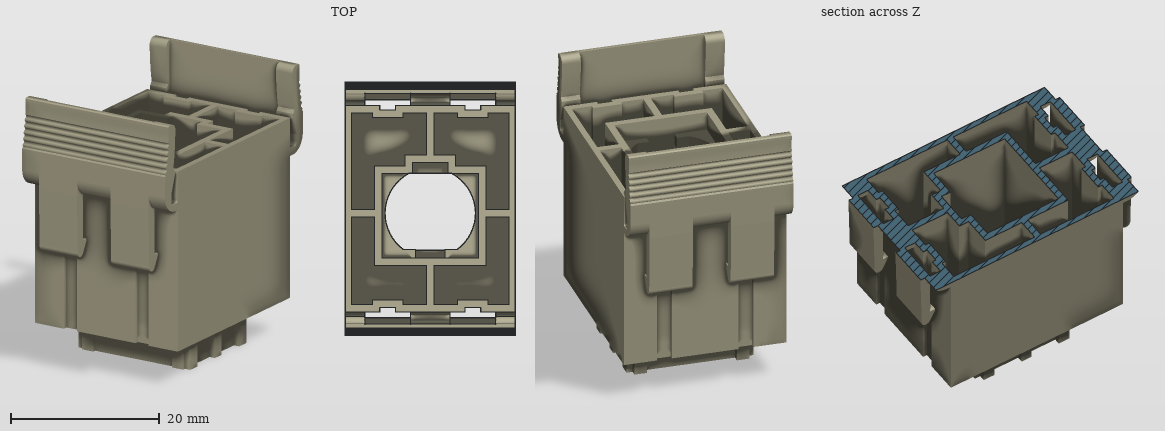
import cadquery as cq
import math

width = 22.9
span = 34.0
height = 37.4
wall = 1.0

body_length = 27.75
body_bottom = 4.95
body_top = 30.37
side_wall = 0.85
floor_top = body_bottom + wall

groove_x = width / 4
groove_width = 2.05
groove_depth = 0.6
step_width = groove_width + 2 * wall

socket_width = 13.0
socket_back = 4.75
socket_front = -6.62
key_width = 4.82
key_depth = 1.45
bore_radius = 6.05
bore_y = -0.6
lip_depth = 2.6
lip_top = body_top - lip_depth
lip_thickness = 1.55
lip_front = -5.45
lip_notch_width = 3.93
outlet_front = -5.57

spigot_width = 16.15
spigot_length = 13.85
corner_rib = 1.75
middle_rib = 1.6
side_rib_depth = 0.85
back_rib_depth = 0.85
front_rib_depth = 0.45

clip_outer = span / 2
clip_inner = 15.5
bridge_bottom = 25.0
bridge_top = bridge_bottom + wall
bend_radius = 2.45
bend_fillet = 0.55
root_fillet = 0.35
lug_width = 2.65
arm_width = 6.1
arm_bottom = 16.4
grip_start = (16.2, 35.0)
grip_end = (16.83, 30.65)
grip_foot = 30.45
grip_grooves = 5
grip_groove_width = 0.45
grip_floor_width = 0.3
grip_flank_depth = 0.15
grip_groove_depth = 0.22
grip_tooth_rise = 0.07


def block(x0, x1, y0, y1, z0, z1):
    """Box between two opposite corners."""
    return cq.Workplane("XY").box(x1 - x0, y1 - y0, z1 - z0, centered=False).translate((x0, y0, z0))


def centred_block(x, x_size, y0, y1, z0, z1):
    """Box centred on x, spanning the given Y and Z ranges."""
    return block(x - x_size / 2, x + x_size / 2, y0, y1, z0, z1)


def across(profile, x, x_size):
    """Extrude a closed YZ profile along X, centred on x."""
    return profile.extrude(x_size / 2, both=True).translate((x, 0, 0))


def socket_block(offset, z0, z1):
    """Socket outline with its key channel, grown outwards by offset."""
    back = socket_back + offset
    main = centred_block(0, socket_width + 2 * offset, socket_front - offset, back, z0, z1)
    return main.union(centred_block(0, key_width + 2 * offset, 0, back + key_depth, z0, z1))


def make_housing():
    half_length = body_length / 2
    inner_half = half_length - wall
    body = centred_block(0, width, -half_length, half_length, body_bottom, body_top)

    pockets = centred_block(0, width - 2 * side_wall, -inner_half, inner_half, floor_top, body_top)
    pockets = pockets.cut(centred_block(0, wall, -half_length, half_length, floor_top, body_top))
    pockets = pockets.cut(
        centred_block(0, width, bore_y - wall / 2, bore_y + wall / 2, floor_top, body_top)
    )
    pockets = pockets.cut(socket_block(wall, floor_top, body_top))
    for x in (-groove_x, groove_x):
        for side in (-1, 1):
            step_y = sorted((side * (inner_half - groove_depth), side * inner_half))
            groove_y = sorted((side * (half_length - groove_depth), side * half_length))
            pockets = pockets.cut(centred_block(x, step_width, *step_y, floor_top, body_top))
            body = body.cut(centred_block(x, groove_width, *groove_y, body_bottom, body_top))
    return body.cut(pockets)


def make_spigot():
    half_width = spigot_width / 2
    half_length = spigot_length / 2
    spigot = centred_block(0, spigot_width, -half_length, half_length, 0, body_bottom)

    rib_span = spigot_width + 2 * side_rib_depth
    corner_y = half_length - corner_rib / 2
    for y, size in ((-corner_y, corner_rib), (0, middle_rib), (corner_y, corner_rib)):
        spigot = spigot.union(centred_block(0, rib_span, y - size / 2, y + size / 2, 0, body_bottom))
    corner_x = half_width - corner_rib / 2
    for x in (-corner_x, corner_x):
        front = -half_length - front_rib_depth
        back = half_length + back_rib_depth
        spigot = spigot.union(centred_block(x, corner_rib, front, back, 0, body_bottom))
    return spigot


def make_socket_cavity():
    cavity = socket_block(0, floor_top, body_top)
    outlet = centred_block(0, socket_width, outlet_front, socket_back, 0, floor_top)

    lip_bottom = lip_top - lip_thickness
    lip = centred_block(0, socket_width, socket_front, socket_back, lip_bottom, lip_top)
    bore = cq.Workplane("XY", origin=(0, bore_y, lip_bottom)).circle(bore_radius).extrude(lip_thickness)
    bore = bore.intersect(centred_block(0, socket_width, lip_front, socket_back, lip_bottom, lip_top))
    notch = centred_block(0, lip_notch_width, socket_front, 0, lip_bottom, lip_top)
    return cavity.cut(lip.cut(bore).cut(notch)).union(outlet)


def add_grip(outline):
    """Continue the clip outline up the sloped grip face, with rounded grooves and teeth."""
    rise_y = grip_start[0] - grip_end[0]
    rise_z = grip_start[1] - grip_end[1]
    length = math.hypot(rise_y, rise_z)
    pitch = length / grip_grooves

    def on_grip(along, depth):
        share = along / length
        inward = depth / length
        return (
            grip_end[0] + share * rise_y - inward * rise_z,
            grip_end[1] + share * rise_z + inward * rise_y,
        )

    half_mouth = grip_groove_width / 2
    half_floor = grip_floor_width / 2
    for index in range(grip_grooves):
        middle = (index + 1) * pitch - half_mouth
        tooth_middle = middle - pitch / 2
        outline = (
            outline.threePointArc(
                on_grip(tooth_middle, -grip_tooth_rise),
                on_grip(middle - half_mouth, 0),
            )
            .lineTo(*on_grip(middle - half_floor, grip_flank_depth))
            .threePointArc(
                on_grip(middle, grip_groove_depth),
                on_grip(middle + half_floor, grip_flank_depth),
            )
            .lineTo(*on_grip(middle + half_mouth, 0))
        )
    return outline


def make_lug_profile():
    """Full clip section on the +Y side: bridge, outer bend, grip face and curved inner face."""
    root = body_length / 2
    bend_y = clip_outer - bend_radius
    bend_z = bridge_bottom + bend_radius
    diagonal = math.sqrt(0.5)
    inset = 1 - diagonal
    tip_radius = 0.95
    tip_inner = 14.47
    tip_outer = grip_start[0]
    tip_chamfer_width = 0.2
    tip_chamfer_height = 0.15
    finger_hollow_top = (tip_outer, 36.85)
    finger_hollow_middle = (16.15, 35.98)
    waist_middle = (14.62, 33.6)
    waist = (14.95, 31.23)
    bump_y = 14.62
    bump_top = 30.7
    bump_bottom = 30.05
    neck_z = 27.55
    outline = (
        cq.Workplane("YZ")
        .moveTo(root - wall / 2, bridge_bottom)
        .lineTo(bend_y, bridge_bottom)
        .threePointArc(
            (bend_y + bend_radius * diagonal, bend_z - bend_radius * diagonal),
            (clip_outer, bend_z),
        )
        .lineTo(clip_outer, grip_foot)
        .lineTo(*grip_end)
    )
    return (
        add_grip(outline)
        .threePointArc(finger_hollow_middle, finger_hollow_top)
        .lineTo(tip_outer, height - tip_chamfer_height)
        .lineTo(tip_outer - tip_chamfer_width, height)
        .lineTo(tip_inner + tip_radius, height)
        .threePointArc(
            (tip_inner + tip_radius * inset, height - tip_radius * inset),
            (tip_inner, height - tip_radius),
        )
        .threePointArc(waist_middle, waist)
        .lineTo(bump_y, bump_top)
        .lineTo(bump_y, bump_bottom)
        .lineTo(clip_inner, neck_z)
        .lineTo(clip_inner, bridge_top + bend_fillet)
        .threePointArc(
            (clip_inner - bend_fillet * inset, bridge_top + bend_fillet * inset),
            (clip_inner - bend_fillet, bridge_top),
        )
        .lineTo(root + root_fillet, bridge_top)
        .threePointArc(
            (root + root_fillet * inset, bridge_top + root_fillet * inset),
            (root, bridge_top + root_fillet),
        )
        .lineTo(root - wall / 2, bridge_top + root_fillet)
        .close()
    )


def make_arm_profile():
    """Hook arm hanging from the outer bend, tapered towards its rounded end."""
    hook_top = 18.63
    hook_tip_y = 14.62
    hook_tip_height = 0.22
    end_inner = (clip_inner, 16.83)
    end_middle = (16.1, arm_bottom)
    end_outer = (16.8, 17.2)
    taper_start = 25.2
    return (
        cq.Workplane("YZ")
        .moveTo(clip_inner, bridge_top + bend_fillet)
        .lineTo(clip_inner, hook_top)
        .lineTo(hook_tip_y, hook_top)
        .lineTo(hook_tip_y, hook_top - hook_tip_height)
        .lineTo(*end_inner)
        .threePointArc(end_middle, end_outer)
        .lineTo(clip_outer, taper_start)
        .lineTo(clip_outer, bridge_bottom + bend_radius)
        .lineTo(clip_inner, bridge_bottom + bend_radius)
        .close()
    )


def make_clip():
    clip = across(make_lug_profile(), 0, width)

    recess = centred_block(0, width - 2 * lug_width, 0, clip_inner, bridge_top + bend_fillet, height)
    clip = clip.cut(recess)

    for x in (-groove_x, groove_x):
        clip = clip.cut(centred_block(x, arm_width, 0, clip_inner, bridge_bottom, height))
        clip = clip.union(across(make_arm_profile(), x, arm_width))
    return clip


back_clip = make_clip()
front_clip = back_clip.mirror("XZ")
housing = make_housing().union(make_spigot()).cut(make_socket_cavity())
result = housing.union(back_clip).union(front_clip)